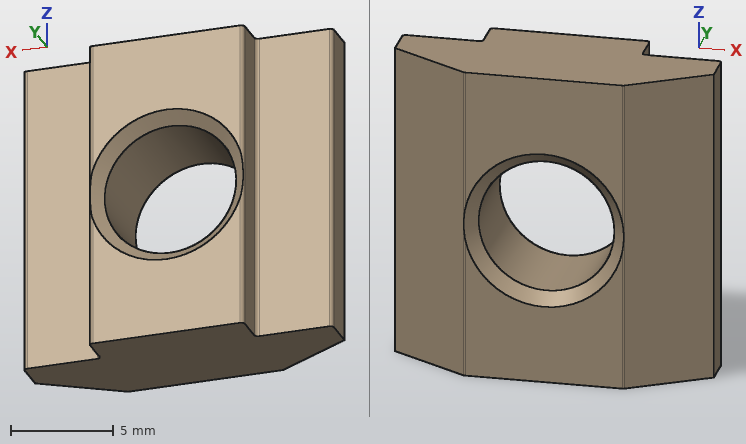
import cadquery as cq
import math

width = 16.0
length = 16.0
thickness = 6.0

neck_width = 8.0
taper_depth = 2.4
neck_height = (thickness - taper_depth) / 2
front_flat_width = neck_width
edge_radius = 0.2

hole_diameter = 6.8
countersink_diameter = 8.05
countersink_angle = 90.0

front_y = -thickness / 2
back_y = thickness / 2
shoulder_y = back_y - neck_height
wing_front_y = front_y + taper_depth


def vertical_edges_at(x, y):
    """Select the pair of mirrored vertical edges at +/-x and the given y."""
    reach = 0.02
    mirrored_boxes = [
        cq.selectors.BoxSelector(
            (side * x - reach, y - reach, -length),
            (side * x + reach, y + reach, length),
        )
        for side in (-1, 1)
    ]
    return mirrored_boxes[0] + mirrored_boxes[1]


def make_body():
    """Extrude the T-shaped profile along Z and round its long edges."""
    right_half = [
        (front_flat_width / 2, front_y),
        (width / 2, wing_front_y),
        (width / 2, shoulder_y),
        (neck_width / 2, shoulder_y),
        (neck_width / 2, back_y),
    ]
    left_half = [(-x, y) for x, y in reversed(right_half)]
    body = (
        cq.Workplane("XY")
        .polyline(right_half + left_half)
        .close()
        .extrude(length / 2, both=True)
    )
    rounded_edges = [
        (neck_width / 2, back_y),
        (neck_width / 2, shoulder_y),
        (width / 2, shoulder_y),
        (front_flat_width / 2, front_y),
    ]
    for x, y in rounded_edges:
        body = body.edges(vertical_edges_at(x, y)).fillet(edge_radius)
    return body


def make_hole():
    """Revolve the hole and its two countersinks about the Y axis."""
    hole_radius = hole_diameter / 2
    mouth_radius = countersink_diameter / 2
    depth = (mouth_radius - hole_radius) / math.tan(math.radians(countersink_angle / 2))
    return (
        cq.Workplane("YZ")
        .polyline([
            (front_y, 0),
            (front_y, -mouth_radius),
            (front_y + depth, -hole_radius),
            (back_y - depth, -hole_radius),
            (back_y, -mouth_radius),
            (back_y, 0),
        ])
        .close()
        .revolve(360, (0, 0, 0), (1, 0, 0))
    )


result = make_body().cut(make_hole())